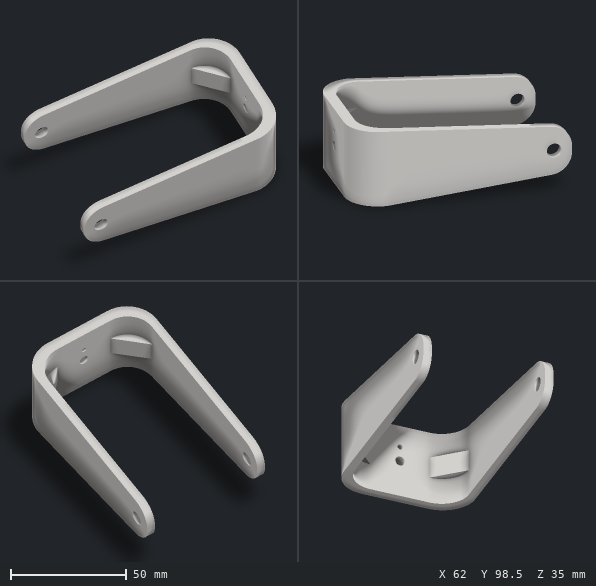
import cadquery as cq
import math

width = 62.0
length = 98.5
height = 35.0
back_y = length / 2
tip_y = -length / 2

arm_thickness = 4.0
back_thickness = 5.2
outer_bend_radius = 15.3
inner_bend_radius = 12.9
inner_width = width - 2 * arm_thickness
inner_back_y = back_y - back_thickness

taper_start = 15.1
taper_blend_radius = 59.1
tip_height = 21.1
tip_corner_radius = 9.9

pin_diameter = 6.5
pin_setback = 8.1
center_hole_diameter = 4.4
small_hole_diameter = 2.4
small_hole_rise = 7.0

gusset_height = 10.0
gusset_leg = inner_bend_radius


def make_u_body():
    """Upright U: a rounded outer block less a rounded inner opening."""
    outer = cq.Workplane("XY").box(width, length, height)
    outer = outer.edges("|Z and >Y").fillet(outer_bend_radius)
    inner = (
        cq.Workplane("XY")
        .box(inner_width, length, height)
        .translate((0, -back_thickness, 0))
        .edges("|Z and >Y")
        .fillet(inner_bend_radius)
    )
    return outer.cut(inner)


def make_side_profile():
    """Full-width solid with the tapered, round-tipped outline of the arms."""
    taper_y = back_y - taper_start
    taper_angle = math.atan2((height - tip_height) / 2, taper_y - tip_y)
    blend_reach = taper_blend_radius * math.tan(taper_angle / 2)
    flat_end_y = taper_y + blend_reach
    slope_start_y = taper_y - blend_reach * math.cos(taper_angle)
    slope_start_z = height / 2 - blend_reach * math.sin(taper_angle)
    profile = (
        cq.Workplane("YZ")
        .moveTo(back_y, height / 2)
        .lineTo(flat_end_y, height / 2)
        .tangentArcPoint((slope_start_y, slope_start_z), relative=False)
        .lineTo(tip_y, tip_height / 2)
        .lineTo(tip_y, -tip_height / 2)
        .lineTo(slope_start_y, -slope_start_z)
        .tangentArcPoint((flat_end_y, -height / 2), relative=False)
        .lineTo(back_y, -height / 2)
        .close()
        .extrude(width / 2, both=True)
    )
    return profile.edges("|X and <Y").fillet(tip_corner_radius)


def make_gusset(side):
    """Triangular web in one inside corner; side is -1 or 1 along X."""
    corner_x = side * inner_width / 2
    leg_x = corner_x - side * gusset_leg
    leg_y = inner_back_y - gusset_leg
    return (
        cq.Workplane("XY")
        .polyline([(corner_x, leg_y), (corner_x, inner_back_y), (leg_x, inner_back_y)])
        .close()
        .extrude(gusset_height / 2, both=True)
    )


def make_back_hole(diameter, z):
    return (
        cq.Workplane("XZ", origin=(0, back_y, z))
        .circle(diameter / 2)
        .extrude(back_thickness)
    )


def make_pin_hole():
    """Cross hole through both arm tips."""
    return (
        cq.Workplane("YZ", origin=(0, tip_y + pin_setback, 0))
        .circle(pin_diameter / 2)
        .extrude(width / 2, both=True)
    )


result = make_u_body().intersect(make_side_profile())
for side in (-1, 1):
    result = result.union(make_gusset(side))
result = result.cut(make_back_hole(center_hole_diameter, 0))
result = result.cut(make_back_hole(small_hole_diameter, small_hole_rise))
result = result.cut(make_pin_hole())